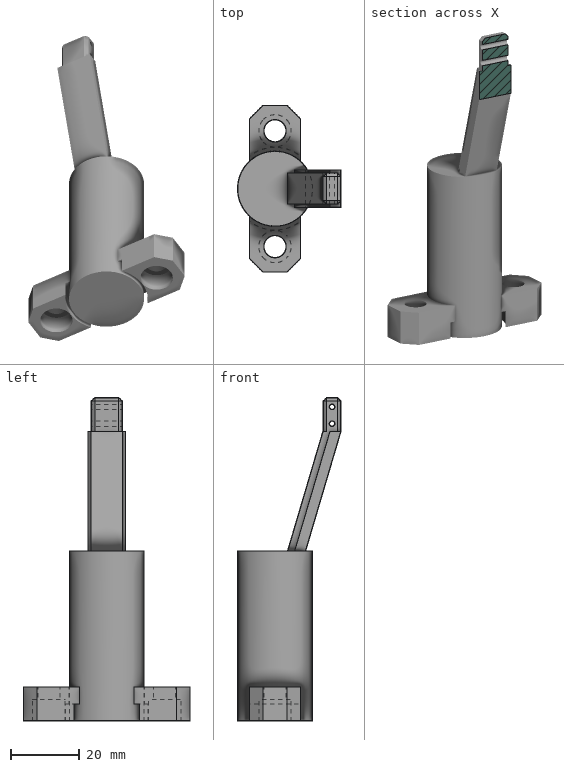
import cadquery as cq

housing_radius = 11.0
housing_height = 50.0

overall_height = 95.0
tip_height = 10.0
tip_base_z = overall_height - tip_height
tip_thickness = 5.2
tip_width = 9.1
tip_right_x = 19.4
tip_center_x = tip_right_x - tip_thickness / 2
tip_chamfer = 1.0

arm_foot_x = 3.7
arm_lean = 10.4
arm_thickness = tip_right_x - arm_foot_x - arm_lean
arm_step = 2.1
arm_wide_width = 11.0

tip_hole_diameter = 1.5
tip_hole_heights = (87.3, 92.2)

lug_width = 15.0
lug_span = 49.0
lug_height = 10.0
lug_corner_chamfer = 4.0
lug_hole_diameter = 6.5
lug_hole_y = 17.0
counterbore_diameter = 9.5
hole_neck_height = 3.7
relief_radius = 12.2
relief_height = lug_height / 2


def leaning_bar(offset, thickness, width):
    """Bar with level ends, its foot starting at the given X offset from the arm's left edge."""
    foot_left = arm_foot_x + offset
    foot_right = foot_left + thickness
    return (
        cq.Workplane("XZ")
        .polyline([
            (foot_left, housing_height),
            (foot_right, housing_height),
            (foot_right + arm_lean, tip_base_z),
            (foot_left + arm_lean, tip_base_z),
        ])
        .close()
        .extrude(width / 2, both=True)
    )


def make_tip():
    """Upright tip with chamfered top and vertical edges and two cross holes."""
    tip = (
        cq.Workplane("XY", origin=(tip_center_x, 0, tip_base_z))
        .rect(tip_thickness, tip_width)
        .extrude(tip_height)
        .edges("|Z or >Z")
        .chamfer(tip_chamfer)
    )
    holes = (
        cq.Workplane("XZ")
        .pushPoints([(tip_center_x, height) for height in tip_hole_heights])
        .circle(tip_hole_diameter / 2)
        .extrude(tip_width, both=True)
    )
    return tip.cut(holes)


def make_housing():
    """Cylinder carrying the lever on its top face."""
    cylinder = cq.Workplane("XY").circle(housing_radius).extrude(housing_height)
    narrow_bar = leaning_bar(0, arm_thickness, tip_width)
    wide_bar = leaning_bar(arm_step, arm_thickness - arm_step, arm_wide_width)
    return cylinder.union(narrow_bar).union(wide_bar).union(make_tip())


def make_lug(side):
    """Lug fitted to the cylinder; side is +1 for the +Y lug and -1 for the -Y lug."""
    length = lug_span / 2
    block = (
        cq.Workplane("XY", origin=(0, side * length / 2, 0))
        .rect(lug_width, length)
        .extrude(lug_height)
        .edges("|Z and >Y" if side > 0 else "|Z and <Y")
        .chamfer(lug_corner_chamfer)
    )
    seat = cq.Workplane("XY").circle(housing_radius).extrude(lug_height)
    relief = cq.Workplane("XY").circle(relief_radius).extrude(relief_height)
    bolt_hole = (
        cq.Workplane("XY", origin=(0, side * lug_hole_y, 0))
        .circle(lug_hole_diameter / 2)
        .extrude(lug_height)
    )
    counterbore = (
        cq.Workplane("XY", origin=(0, side * lug_hole_y, 0))
        .circle(counterbore_diameter / 2)
        .extrude(lug_height - hole_neck_height)
    )
    return block.cut(seat).cut(relief).cut(bolt_hole).cut(counterbore)


housing = make_housing()
lugs = [make_lug(side) for side in (1, -1)]

result = cq.Compound.makeCompound([housing.val(), *[lug.val() for lug in lugs]])